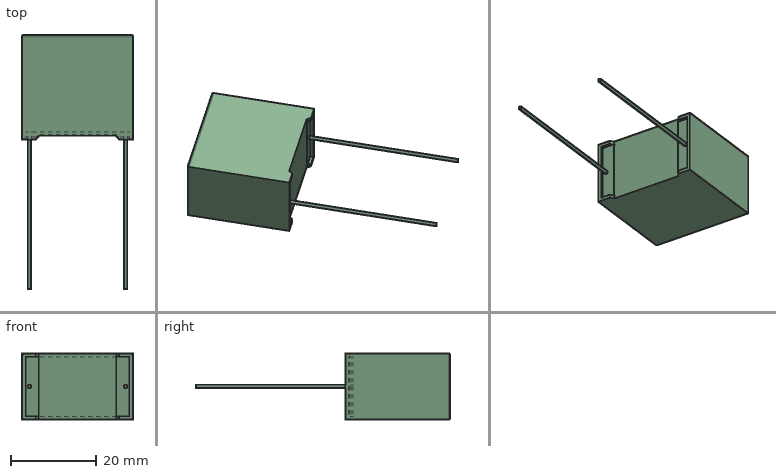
import cadquery as cq

width = 26.0
total_length = 59.5
height = 15.5

case_depth = 24.5
back_fillet = 0.4
wall = 0.85
cavity_depth = 1.8

notch_depth = 0.9
notch_half_width = 9.05
notch_flare = 0.7
notch_skin = 0.35

floor_depth = 0.7

lead_diameter = 0.85
lead_spacing = 22.5

back_y = total_length / 2
foot_y = back_y - case_depth
tip_y = -total_length / 2
notch_y = foot_y + notch_depth
floor_y = foot_y + floor_depth
channel_y = notch_y + notch_skin
cavity_y = foot_y + cavity_depth
cavity_half_width = width / 2 - wall
pocket_width = cavity_half_width - notch_half_width
pocket_center = notch_half_width + pocket_width / 2
inner_height = height - 2 * wall
sides = (-1, 1)


def block(x_size, z_size, y_start, y_end, x_center=0.0):
    """Box centred on the X axis position and on Z = 0, between two Y planes."""
    return cq.Workplane("XY").box(x_size, y_end - y_start, z_size).translate(
        (x_center, (y_start + y_end) / 2, 0)
    )


def make_notch():
    """Full-height gap between the feet, with flared sides."""
    tip_half_width = notch_half_width + notch_flare
    return (
        cq.Workplane("XY")
        .polyline([
            (-tip_half_width, foot_y),
            (tip_half_width, foot_y),
            (notch_half_width, notch_y),
            (-notch_half_width, notch_y),
        ])
        .close()
        .extrude(height / 2, both=True)
    )


def make_case():
    """Block with a rounded back, a front notch and a pocket in each foot."""
    case = block(width, height, foot_y, back_y).faces(">Y").edges().fillet(back_fillet)
    case = case.cut(make_notch())
    for side in sides:
        case = case.cut(block(pocket_width, inner_height, foot_y, cavity_y, side * pocket_center))
    return case.cut(block(2 * notch_half_width, inner_height, channel_y, cavity_y))


def make_lead(side):
    """Straight round wire that starts on the cavity floor."""
    return (
        cq.Workplane("XZ", origin=(side * lead_spacing / 2, cavity_y, 0))
        .circle(lead_diameter / 2)
        .extrude(cavity_y - tip_y)
    )


def make_potting(leads):
    """Resin that fills both pockets to their surface and the channel between them."""
    potting = block(2 * notch_half_width, inner_height, channel_y, cavity_y)
    for side in sides:
        potting = potting.union(
            block(pocket_width, inner_height, floor_y, cavity_y, side * pocket_center)
        )
    for lead in leads:
        potting = potting.cut(lead)
    return potting


case = make_case()
leads = [make_lead(side) for side in sides]
potting = make_potting(leads)

result = cq.Compound.makeCompound([case.val(), potting.val(), *[lead.val() for lead in leads]])